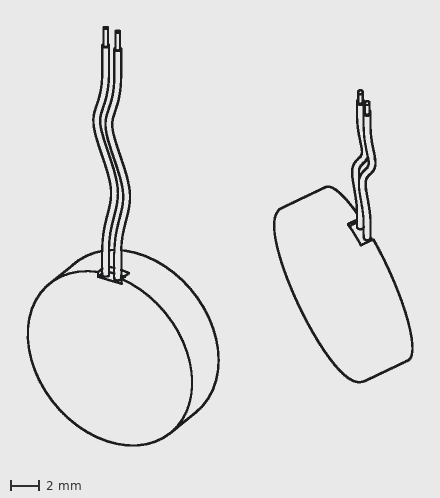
import cadquery as cq

housing_diameter = 13.6
housing_thickness = 4.0
back_fillet = 0.5

notch_width = 1.93
notch_depth = 1.0
notch_floor_z = 6.33

overall_height = 33.3
wire_diameter = 0.5
wire_spacing = 1.0
wire_start_z = 6.5
straight_length = 2.03
core_diameter = 0.33
core_length = 1.43

lower_bend_offset = 0.7
lower_bend_z = 13.82
upper_bend_offset = -0.73
upper_bend_z = 18.65

housing_radius = housing_diameter / 2
front_y = -housing_thickness / 2
wire_y = front_y + wire_diameter / 2
core_end_z = overall_height - housing_radius
wire_end_z = core_end_z - core_length
curve_start_z = wire_start_z + straight_length
curve_end_z = wire_end_z - straight_length
wire_positions = [-wire_spacing / 2, wire_spacing / 2]


def make_housing():
    """Disc with a rounded back rim and a notch open to the front and the rim."""
    disc = (
        cq.Workplane("XZ", origin=(0, front_y, 0))
        .circle(housing_radius)
        .extrude(-housing_thickness)
        .faces(">Y")
        .edges()
        .fillet(back_fillet)
    )
    notch = cq.Workplane("XY").box(
        notch_width, notch_depth, housing_radius - notch_floor_z, centered=(True, False, False)
    )
    return disc.cut(notch.translate((0, front_y, notch_floor_z)))


def make_wire(x):
    """Insulated wire with straight ends and an S-shaped middle."""
    path = (
        cq.Workplane("XZ", origin=(x, wire_y, 0))
        .moveTo(0, wire_start_z)
        .lineTo(0, curve_start_z)
        .spline(
            [(lower_bend_offset, lower_bend_z), (upper_bend_offset, upper_bend_z), (0, curve_end_z)],
            tangents=[(0, 1), (0, 1)],
            includeCurrent=True,
        )
        .lineTo(0, wire_end_z)
    )
    return cq.Workplane("XY", origin=(x, wire_y, wire_start_z)).circle(wire_diameter / 2).sweep(path)


def make_core(x):
    """Bare conductor standing on the free end of a wire."""
    return cq.Workplane("XY", origin=(x, wire_y, wire_end_z)).circle(core_diameter / 2).extrude(core_length)


housing = make_housing()
wires = [make_wire(x) for x in wire_positions]
cores = [make_core(x) for x in wire_positions]

result = cq.Compound.makeCompound(
    [housing.val(), *[wire.val() for wire in wires], *[core.val() for core in cores]]
)